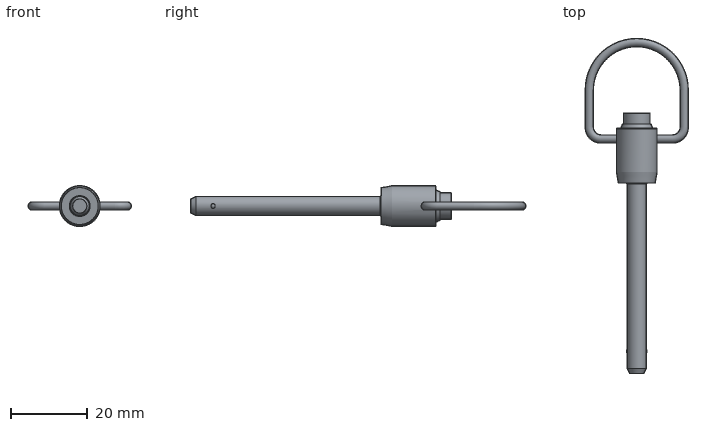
import cadquery as cq

total_length = 87.6

shank_radius = 2.5
tip_radius = 1.8
tip_length = 1.4
shank_root_flare = 0.22

ball_radius = 0.8
ball_reach = 2.7
ball_y = 5.9

body_radius = 5.3
body_front_radius = 4.8
body_front_y = 49.8
body_taper_length = 2.9
body_back_y = 64.1
body_edge_chamfer = 0.2

collar_base_radius = 4.2
collar_top_radius = 3.8
collar_length = 1.05
button_radius = 3.5
button_end_y = 68.15
button_edge_chamfer = 0.2

ring_width = 27.0
wire_radius = 1.095
crossbar_y = 61.3
bend_radius = 3.1
ring_radius = ring_width / 2 - wire_radius
ring_center_y = total_length - ring_width / 2


def make_spindle():
    """Revolve the shank, body, collar and button about the Y axis."""
    taper_end_y = body_front_y + body_taper_length
    collar_end_y = body_back_y + collar_length
    profile = [
        (0, 0),
        (tip_radius, 0),
        (shank_radius, tip_length),
        (shank_radius, body_front_y - shank_root_flare),
        (shank_radius + shank_root_flare, body_front_y),
        (body_front_radius, body_front_y),
        (body_radius, taper_end_y),
        (body_radius, body_back_y - body_edge_chamfer),
        (body_radius - body_edge_chamfer, body_back_y),
        (collar_base_radius, body_back_y),
        (collar_top_radius, collar_end_y),
        (button_radius, collar_end_y),
        (button_radius, button_end_y - button_edge_chamfer),
        (button_radius - button_edge_chamfer, button_end_y),
        (0, button_end_y),
    ]
    return cq.Workplane("XY").polyline(profile).close().revolve(360, (0, 0, 0), (0, 1, 0))


def make_ball(side):
    """Make the locking ball on the +X (side = 1) or -X (side = -1) flank."""
    ball_x = side * (ball_reach - ball_radius)
    return cq.Workplane("XY").sphere(ball_radius).translate((ball_x, ball_y, 0))


def make_pull_ring():
    """Sweep the wire around a D-shaped loop whose crossbar runs through the body."""
    bend_x = ring_radius - bend_radius
    bend_y = crossbar_y + bend_radius
    path = (
        cq.Workplane("XY")
        .moveTo(0, crossbar_y)
        .lineTo(bend_x, crossbar_y)
        .radiusArc((ring_radius, bend_y), -bend_radius)
        .lineTo(ring_radius, ring_center_y)
        .threePointArc((0, ring_center_y + ring_radius), (-ring_radius, ring_center_y))
        .lineTo(-ring_radius, bend_y)
        .radiusArc((-bend_x, crossbar_y), -bend_radius)
        .close()
    )
    return cq.Workplane("YZ").center(crossbar_y, 0).circle(wire_radius).sweep(path)


result = make_spindle().union(make_pull_ring())
for side in (-1, 1):
    result = result.union(make_ball(side))